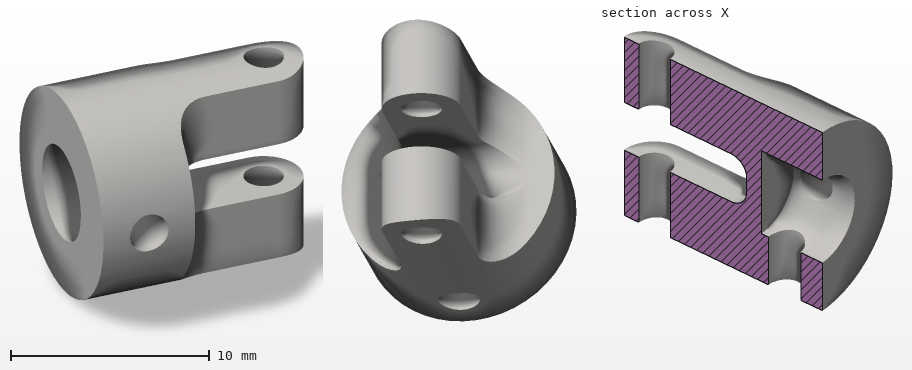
import cadquery as cq

total_length = 13.03
hub_diameter = 11.0
hub_length = 5.0
arm_width = 4.01
shoulder_radius = 2.01
slot_height = 2.92
slot_corner_radius = 1.0
pin_diameter = 2.05
bore_diameter = 5.07
bore_depth = 4.0
set_screw_diameter = 2.1

hub_radius = hub_diameter / 2
arm_end_radius = arm_width / 2
pin_y = total_length - arm_end_radius
set_screw_y = hub_length / 2


def make_cylinder(diameter, length, origin, direction):
    solid = cq.Solid.makeCylinder(diameter / 2, length, cq.Vector(*origin), cq.Vector(*direction))
    return cq.Workplane(solid)


def make_plan_prism():
    """Plan outline of hub, shoulders and round-ended arm, extruded through Z."""
    half_arm = arm_width / 2
    shoulder_x = half_arm + shoulder_radius
    shoulder_y = hub_length + shoulder_radius
    return (
        cq.Workplane("XY")
        .moveTo(-hub_radius, 0)
        .lineTo(hub_radius, 0)
        .lineTo(hub_radius, hub_length)
        .lineTo(shoulder_x, hub_length)
        .radiusArc((half_arm, shoulder_y), shoulder_radius)
        .lineTo(half_arm, pin_y)
        .threePointArc((0, total_length), (-half_arm, pin_y))
        .lineTo(-half_arm, shoulder_y)
        .radiusArc((-shoulder_x, hub_length), shoulder_radius)
        .lineTo(-hub_radius, hub_length)
        .close()
        .extrude(hub_radius, both=True)
    )


def make_slot():
    """Gap between the arms, with rounded inner corners."""
    slot_length = total_length - hub_length
    return (
        cq.Workplane("XY")
        .box(hub_diameter, slot_length, slot_height)
        .edges("|X and <Y")
        .fillet(slot_corner_radius)
        .translate((0, hub_length + slot_length / 2, 0))
    )


body = make_cylinder(hub_diameter, total_length, (0, 0, 0), (0, 1, 0))
body = body.intersect(make_plan_prism()).cut(make_slot())

body = body.cut(make_cylinder(pin_diameter, hub_diameter, (0, pin_y, -hub_radius), (0, 0, 1)))

body = body.cut(make_cylinder(bore_diameter, bore_depth, (0, 0, 0), (0, 1, 0)))

for screw_direction in ((1, 0, 0), (0, 0, -1)):
    body = body.cut(make_cylinder(set_screw_diameter, hub_radius, (0, set_screw_y, 0), screw_direction))

result = body